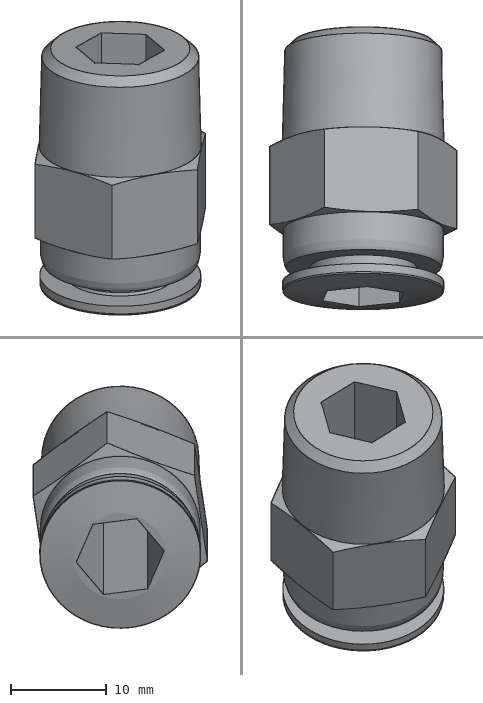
import cadquery as cq
import math

flange_cone_top = 0.55
flange_edge_top = 0.7
flange_top = 1.58
collar_top = 1.9
body_bottom = 3.15
body_chamfer_top = 3.45
body_taper_top = 4.13
hex_bottom = 7.13
hex_top = 16.2
thread_chamfer_bottom = 26.3
total_height = 27.2

flange_face_diameter = 9.7
flange_edge_diameter = 16.7
flange_diameter = 16.8
collar_diameter = 11.37
neck_diameter = 11.1
body_end_diameter = 16.15
body_taper_diameter = 16.4
body_diameter = 16.7
thread_root_diameter = 16.92
thread_tip_diameter = 16.4
thread_face_diameter = 14.52

hex_across_flats = 17.0
hex_chamfer_diameter = 16.92
hex_chamfer_angle = 15.0
socket_across_flats = 8.02


def corner_diameter(across_flats):
    """Across-corners size of a regular hexagon."""
    return across_flats / math.cos(math.radians(30))


def revolve_profile(stations):
    """Solid of revolution about Z from (diameter, height) pairs listed upward."""
    outline = [(diameter / 2, z) for diameter, z in stations]
    axis_bottom = (0, stations[0][1])
    axis_top = (0, stations[-1][1])
    profile = cq.Workplane("XZ").polyline([axis_bottom] + outline + [axis_top]).close()
    return profile.revolve(360, (0, 0, 0), (0, 1, 0))


def make_turned_body():
    """Release flange, neck, lower body and tapered thread in one profile."""
    return revolve_profile([
        (flange_face_diameter, 0),
        (flange_edge_diameter, flange_cone_top),
        (flange_diameter, flange_edge_top),
        (flange_diameter, flange_top),
        (collar_diameter, flange_top),
        (neck_diameter, collar_top),
        (neck_diameter, body_bottom),
        (body_end_diameter, body_bottom),
        (body_taper_diameter, body_chamfer_top),
        (body_diameter, body_taper_top),
        (body_diameter, hex_top),
        (thread_root_diameter, hex_top),
        (thread_tip_diameter, thread_chamfer_bottom),
        (thread_face_diameter, total_height),
    ])


def make_wrench_hexagon():
    """Hexagon with corners on X, its corners chamfered conically at both ends."""
    corners = corner_diameter(hex_across_flats)
    drop = (corners - hex_chamfer_diameter) / 2 * math.tan(math.radians(hex_chamfer_angle))
    prism = (
        cq.Workplane("XY", origin=(0, 0, hex_bottom))
        .polygon(6, corners)
        .extrude(hex_top - hex_bottom)
    )
    envelope = revolve_profile([
        (hex_chamfer_diameter, hex_bottom),
        (corners, hex_bottom + drop),
        (corners, hex_top - drop),
        (hex_chamfer_diameter, hex_top),
    ])
    return prism.intersect(envelope)


def make_socket():
    """Hexagonal through passage with corners on Y."""
    return (
        cq.Workplane("XY")
        .transformed(rotate=(0, 0, 90))
        .polygon(6, corner_diameter(socket_across_flats))
        .extrude(total_height)
    )


result = make_turned_body().union(make_wrench_hexagon()).cut(make_socket())